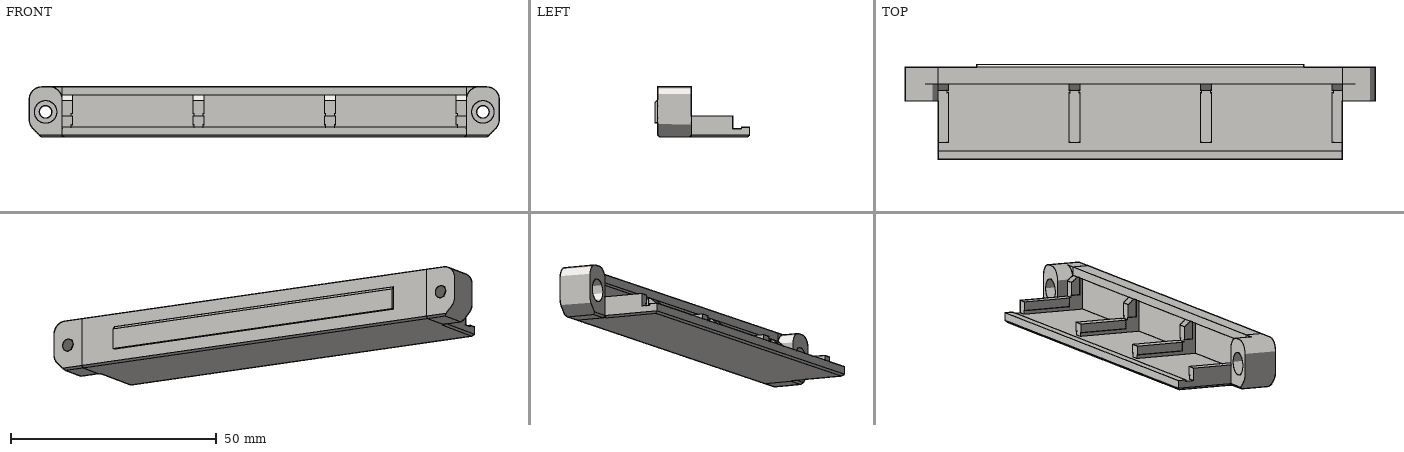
import cadquery as cq
import math

total_length = 114.4
height = 12.2
tray_length = 98.4
tray_depth = 22.4
bottom_chamfer = 0.51

wall_thickness = 4.1
wall_recess = 1.6
recess_top = 10.2
floor_thickness = 2.1
lip_width = 2.1
lip_height = 2.4

rib_count = 4
rib_pitch = 32.0
rib_width = 2.7
rib_height = 5.1
rib_reach = 18.3
post_reach = 5.6
post_height = 8.9

pad_thickness = 0.29
pad_base_gap = 0.9
pad_corner_gap = 0.6

strip_length = 79.6
strip_thickness = 0.7
strip_bottom = 3.4
strip_top = 9.0

ear_depth = 8.2
ear_radius = 3.1
ear_lower_arc_start = 4.2
screw_diameter = 3.0
counterbore_diameter = 5.5
counterbore_depth = 4.1

half_length = total_length / 2
half_tray = tray_length / 2
screw_x = (half_length + half_tray) / 2
screw_z = height / 2
recess_y = -(wall_thickness - wall_recess)
lip_y = lip_width - tray_depth


def prism_along_x(outline, x_start, x_end):
    """Prism of a (y, z) outline between two X positions."""
    plane = cq.Workplane("YZ", origin=(x_start, 0, 0))
    return plane.polyline(outline).close().extrude(x_end - x_start)



def make_tray_profile():
    outline = [
        (-bottom_chamfer, 0),
        (bottom_chamfer - tray_depth, 0),
        (-tray_depth, bottom_chamfer),
        (-tray_depth, lip_height),
        (lip_y, lip_height),
        (lip_y, floor_thickness),
        (recess_y, floor_thickness),
        (recess_y, recess_top),
        (-wall_thickness, recess_top),
        (-wall_thickness, height),
        (0, height),
        (0, bottom_chamfer),
    ]
    return prism_along_x(outline, -half_tray, half_tray)


def make_end_chamfer(side):
    """Wedge that chamfers the tray's lower end edge in front of the ear."""
    corner = [
        (side * half_tray, 0),
        (side * (half_tray - bottom_chamfer), 0),
        (side * half_tray, bottom_chamfer),
    ]
    plane = cq.Workplane("XZ", origin=(0, -ear_depth, 0))
    return plane.polyline(corner).close().extrude(tray_depth - ear_depth)


def make_rib(x_center):
    """Rib with a narrow L-shaped core and wider pads; an end rib is flush with the tray's end."""
    x_start = max(x_center - rib_width / 2, -half_tray)
    x_end = min(x_center + rib_width / 2, half_tray)
    core_start = x_start if x_start == -half_tray else x_start + pad_thickness
    core_end = x_end if x_end == half_tray else x_end - pad_thickness

    core = [
        (recess_y, floor_thickness),
        (-rib_reach, floor_thickness),
        (-rib_reach, rib_height),
        (-post_reach, rib_height),
        (-post_reach, post_height),
        (-wall_thickness, recess_top),
        (recess_y, recess_top),
    ]
    bar_pad = [
        (-post_reach - pad_corner_gap, floor_thickness + pad_base_gap),
        (-rib_reach, floor_thickness + pad_base_gap),
        (-rib_reach, rib_height),
        (-post_reach - pad_corner_gap, rib_height),
    ]
    post_pad = [
        (recess_y - pad_base_gap, rib_height + pad_corner_gap),
        (-post_reach, rib_height + pad_corner_gap),
        (-post_reach, post_height),
        (-wall_thickness, recess_top),
        (recess_y - pad_base_gap, recess_top),
    ]
    rib = prism_along_x(core, core_start, core_end)
    for pad in (bar_pad, post_pad):
        rib = rib.union(prism_along_x(pad, x_start, x_end))
    return rib


def make_back_strip():
    outline = [
        (0, strip_bottom),
        (strip_thickness, strip_bottom),
        (strip_thickness, strip_top - strip_thickness),
        (0, strip_top),
    ]
    return prism_along_x(outline, -strip_length / 2, strip_length / 2)


def make_tray():
    tray = make_tray_profile()
    for side in (-1, 1):
        tray = tray.cut(make_end_chamfer(side))
    for index in range(rib_count):
        tray = tray.union(make_rib((index - (rib_count - 1) / 2) * rib_pitch))
    return tray.union(make_back_strip())



def make_ear_block():
    """Left ear's outline: rounded above, an eighth-circle arc and a 45 degree flat below."""
    arc_drop = ear_radius * math.sin(math.pi / 4)
    flat_top_x = -half_length + ear_radius - arc_drop
    flat_top_z = ear_lower_arc_start - arc_drop
    return (
        cq.Workplane("XZ")
        .moveTo(-half_tray, 0)
        .lineTo(flat_top_x + flat_top_z, 0)
        .lineTo(flat_top_x, flat_top_z)
        .radiusArc((-half_length, ear_lower_arc_start), ear_radius)
        .lineTo(-half_length, height - ear_radius)
        .radiusArc((-half_length + ear_radius, height), ear_radius)
        .lineTo(-half_tray, height)
        .close()
        .extrude(ear_depth)
    )


def make_inner_corner():
    """Waste outside the rounded inner top corner, in front of the wall."""
    return (
        cq.Workplane("XZ", origin=(0, -wall_thickness, 0))
        .moveTo(-half_tray - ear_radius, height)
        .radiusArc((-half_tray, height - ear_radius), ear_radius)
        .lineTo(-half_tray, height)
        .close()
        .extrude(ear_depth - wall_thickness)
    )


def make_left_ear():
    ear = make_ear_block().cut(make_inner_corner())
    ear = ear.faces("<Z").edges("|X").chamfer(bottom_chamfer)
    front = cq.Workplane("XZ", origin=(-screw_x, -ear_depth, screw_z))
    screw_hole = front.circle(screw_diameter / 2).extrude(-ear_depth)
    counterbore = front.circle(counterbore_diameter / 2).extrude(-counterbore_depth)
    return ear.cut(screw_hole).cut(counterbore)


def make_ear(side):
    """Ear at the left (-1) or right (1) end; the right one is the mirror image."""
    left_ear = make_left_ear()
    return left_ear if side < 0 else left_ear.mirror("YZ")


tray = make_tray()
ears = [make_ear(side) for side in (-1, 1)]

result = cq.Compound.makeCompound([tray.solids().val(), *[ear.solids().val() for ear in ears]])